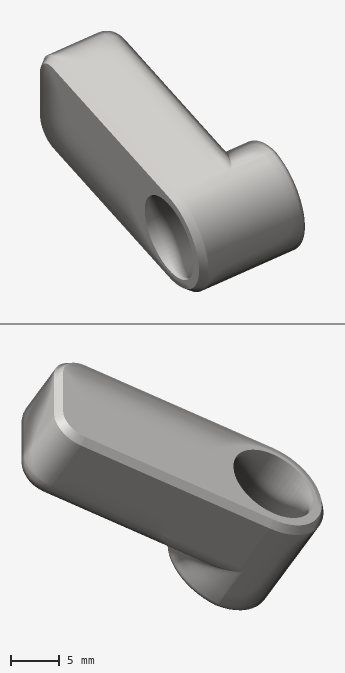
import cadquery as cq

length = 31.75
height = 12.7
depth = 12.7
arm_thickness = 8.89

end_radius = height / 2
arm_left = end_radius - length
corner_radius = 3.175
arm_back_fillet = 1.905
boss_back_fillet = 0.635
chamfer_inset = 0.635
chamfer_depth = 0.76

boss_shift = 0.88
boss_corner_radius = 0.7

counterbore_diameter = 9.4
hole_diameter = 5.08
boss_floor = 2.54
counterbore_depth = depth - boss_floor


def cylinder(diameter, y_length, x_center=0):
    """Cylinder along +Y starting on the front face."""
    base = cq.Workplane("XZ").center(x_center, 0).circle(diameter / 2)
    return base.extrude(-y_length)


def make_arm():
    """Flat arm with one round end, rounded corners and a rounded back edge."""
    arm = (
        cq.Workplane("XZ")
        .moveTo(0, end_radius)
        .lineTo(arm_left, end_radius)
        .lineTo(arm_left, -end_radius)
        .lineTo(0, -end_radius)
        .threePointArc((end_radius, 0), (0, end_radius))
        .close()
        .extrude(-arm_thickness)
    )
    arm = arm.faces("<X").edges("|Y").fillet(corner_radius)
    return arm.faces(">Y").edges().fillet(arm_back_fillet)


def make_boss():
    """Lens-shaped boss at the round end, running the full depth."""
    boss = cylinder(height, depth).intersect(cylinder(height, depth, boss_shift))
    boss = boss.edges("|Y").fillet(boss_corner_radius)
    return boss.faces(">Y").edges().fillet(boss_back_fillet)


def chamfer_front(body):
    """Bevel the front outline, slightly deeper along Y than across the face."""
    front_face = body.faces("<Y")
    solid = body.val()
    beveled = solid.chamfer(chamfer_depth, chamfer_inset, front_face.edges().vals())
    return cq.Workplane("XY").newObject([beveled])


def cut_bore(body):
    """Counterbore from the front and a smaller hole through the boss floor."""
    body = body.cut(cylinder(counterbore_diameter, counterbore_depth))
    return body.cut(cylinder(hole_diameter, depth))


lever = make_arm().union(make_boss()).clean()
result = cut_bore(chamfer_front(lever))